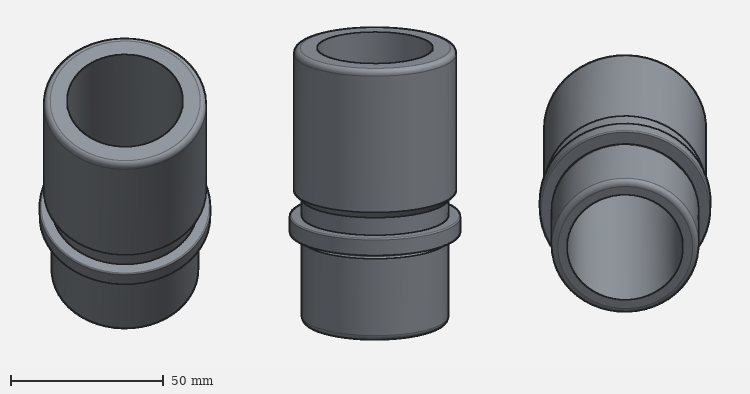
import cadquery as cq

total_height = 93.0
bore_diameter = 37.9

spigot_diameter = 48.2
spigot_height = 28.1
spigot_fillet = 2.0

groove_diameter = 46.5
groove_fillet = 0.6

collar_diameter = 56.0
collar_bottom = 30.1
collar_height = 5.95
collar_fillet = 0.5

body_diameter = 53.2
neck_top = 42.0
body_fillet = 2.0
cone_height = (body_diameter - spigot_diameter) / 2


def disc(diameter, bottom, top):
    """Cylinder about Z between two heights."""
    return cq.Workplane("XY").workplane(offset=bottom).circle(diameter / 2).extrude(top - bottom)


spigot = disc(spigot_diameter, 0, spigot_height).faces("<Z").edges().fillet(spigot_fillet)

groove = disc(groove_diameter, spigot_height, collar_bottom)
groove_corner = cq.Workplane("XZ").moveTo(groove_diameter / 2, spigot_height)
groove_corner = groove_corner.hLine(groove_fillet)
groove_corner = groove_corner.radiusArc((groove_diameter / 2, spigot_height + groove_fillet), groove_fillet)
groove_corner = groove_corner.close().revolve(360, (0, 0, 0), (0, 1, 0))
collar_top = collar_bottom + collar_height
collar = disc(collar_diameter, collar_bottom, collar_top).edges("%CIRCLE").fillet(collar_fillet)
neck = disc(spigot_diameter, collar_top, neck_top)

body = disc(body_diameter, neck_top, total_height)
body = body.faces("<Z").edges().chamfer(cone_height)
body = body.faces(">Z").edges().fillet(body_fillet)

bore = disc(bore_diameter, 0, total_height)

result = spigot.union(groove).union(groove_corner).union(collar).union(neck).union(body).cut(bore)